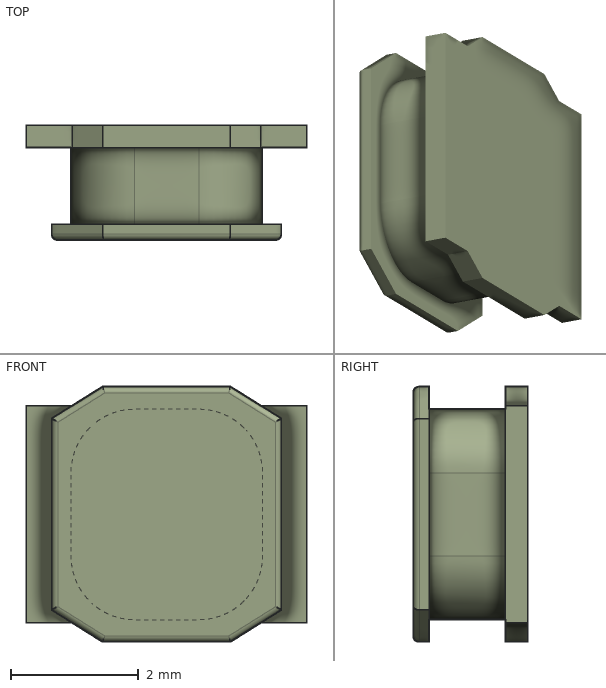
import cadquery as cq

base_width = 4.4
height = 4.0
depth = 1.8

cap_thickness = 0.25
base_thickness = 0.35
core_length = depth - cap_thickness - base_thickness

cap_width = 3.6
corner_run = 0.8
corner_drop = 0.5
rim_radius = 0.095

core_width = 3.0
core_height = 3.3
core_radius = 1.0

terminal_height = 3.4


def plate(outline, front, thickness):
    """Extrude an XZ outline toward +Y, starting at y = front."""
    return outline(cq.Workplane("XZ", origin=(0, front, 0))).extrude(-thickness)


def tapered_octagon(side_width, side_height):
    """Octagon points: sloped corners join the flat top to upright sides."""
    half_flat = cap_width / 2 - corner_run
    half_side = side_width / 2
    top = height / 2
    shoulder = side_height / 2
    return [
        (half_flat, top),
        (half_side, shoulder),
        (half_side, -shoulder),
        (half_flat, -top),
        (-half_flat, -top),
        (-half_side, -shoulder),
        (-half_side, shoulder),
        (-half_flat, top),
    ]


def make_cap():
    points = tapered_octagon(cap_width, height - 2 * corner_drop)
    cap = plate(lambda plane: plane.polyline(points).close(), 0, cap_thickness)
    return cap.faces("<Y").edges().fillet(rim_radius)


def make_core():
    core = plate(lambda plane: plane.rect(core_width, core_height), cap_thickness, core_length)
    return core.edges("|Y").fillet(core_radius)


def make_base():
    front = cap_thickness + core_length
    terminals = plate(lambda plane: plane.rect(base_width, terminal_height), front, base_thickness)
    tab_drop = (height - terminal_height) / 2
    tab_width = cap_width - 2 * corner_run * (1 - tab_drop / corner_drop)
    points = tapered_octagon(tab_width, terminal_height)
    tabs = plate(lambda plane: plane.polyline(points).close(), front, base_thickness)
    return terminals.union(tabs)


result = make_cap().union(make_core()).union(make_base())